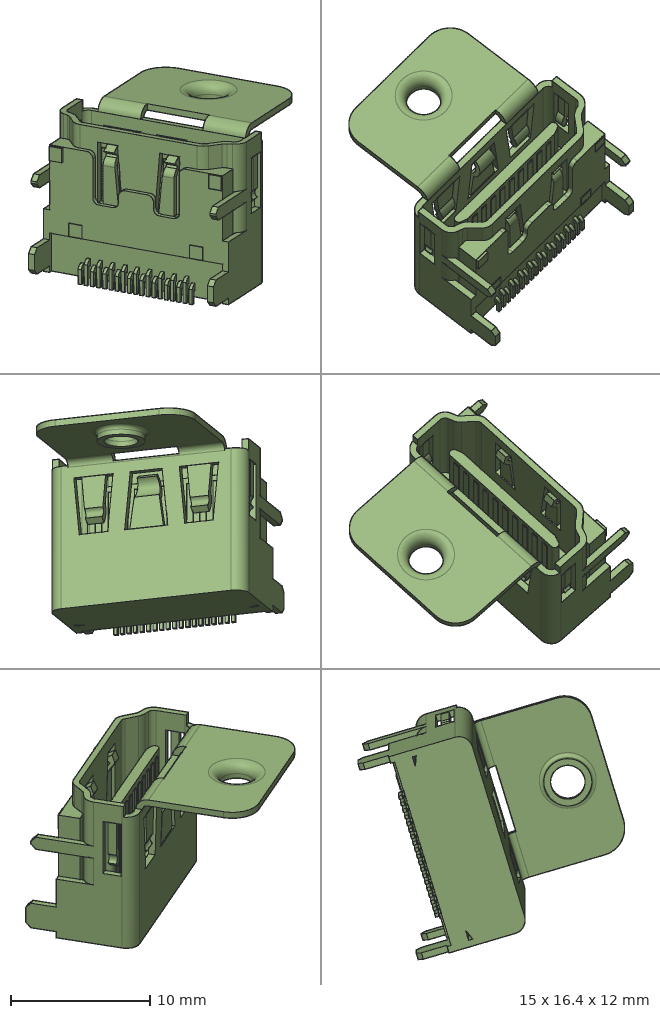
import cadquery as cq
import math


embed = 0.08

width = 15.0
overall_depth = 16.45
half_width = width / 2
wall = 0.5
shell_height = 11.55
shell_front = -5.58
flank_top = (half_width, -3.87)
flank_mid = (6.3, -4.31)
flank_low_x = 5.2
bend_radius = 1.0
flank_mid_radius = 0.72
rear_top = 10.7
back_corner_depth = 0.89

inner_half = half_width - wall
cavity_floor = 3.01
body_front = -5.97
body_back = -4.35
body_top = 9.75
recess_front = -5.66

notch_top_half = 3.5
notch_inner_half = 1.41
notch_bottom = 5.82
notch_bridge = 7.27
notch_radius = 0.5

flange_half = 5.99
flange_back = 8.18
flange_corner = 2.0
fold_inner = 0.5
fold_gap_half = 2.52
fold_gap_back = 0.55
screw_y = 5.2
screw_radius = 1.23
collar_bottom = 10.36
collar_inner_bend = 0.8

wing_root = -2.8
wing_top = 4.79
upper_leg = dict(bottom=6.96, top=7.95, tip=-7.91, chamfer=0.41)
lower_leg = dict(bottom=0.5, top=2.5, tip=flange_back - overall_depth, chamfer=0.4)

pin_count = 19
pin_row = 9.0
pitch = pin_row / (pin_count - 1)
pin_width = 0.26
pin_bottom = -0.45
pin_front = -6.1
pin_back = -5.84
pin_slope = 0.36
pin_bulge = 0.05
pin_tops = (1.05, 1.5)
blade_half = 5.45
blade_back = -2.37
blade_front = -3.17
blade_top = 9.55
contact_top = 9.13
contact_width = 0.5
contact_proud = 0.08
back_contacts = 10
front_contacts = 9


def box(x0, x1, y0, y1, z0, z1):
    return cq.Workplane("XY").box(x1 - x0, y1 - y0, z1 - z0, centered=False).translate((x0, y0, z0))


def both_sides(shape):
    return shape.union(shape.mirror("YZ"))


def outer_prism():
    """Solid filling the outer shell contour, corners rounded."""
    right = [(half_width, 0), flank_top, flank_mid, (flank_low_x, shell_front)]
    left = [(-x, y) for x, y in reversed(right)]
    prism = cq.Workplane("XY").polyline(right + left).close().extrude(shell_height)

    def edge_at(x, y):
        return cq.selectors.NearestToPointSelector((x, y, shell_height / 2))

    for x, y in right + left:
        radius = flank_mid_radius if abs(x) == flank_mid[0] else bend_radius
        prism = prism.edges("|Z").edges(edge_at(x, y)).fillet(radius)
    return prism


def make_shell(prism):
    cavity = (
        prism.faces("<Z").wires().toPending().workplane(origin=(0, 0, 0), invert=True)
        .offset2D(-wall).extrude(shell_height, combine=False)
        .translate((0, 0, cavity_floor))
    )
    rear_cut = box(-half_width, half_width, -back_corner_depth, 0, rear_top, shell_height)
    return prism.cut(cavity).cut(rear_cut)


def make_body(prism):
    cover = box(-inner_half, inner_half, body_front, body_back, 0, body_top)
    recess = box(-inner_half, inner_half, body_front, recess_front, 0, cavity_floor)
    opening = box(-notch_top_half, notch_top_half, body_front, shell_front, notch_bottom, body_top)
    bridge = box(-notch_inner_half, notch_inner_half, body_front, shell_front, notch_bottom, notch_bridge)
    body = cover.cut(opening.cut(bridge)).cut(recess).cut(prism)

    corners = (
        (notch_top_half, body_top), (notch_top_half, notch_bottom),
        (notch_inner_half, notch_bridge), (notch_inner_half, notch_bottom),
    )
    middle_y = (body_front + shell_front) / 2
    for x, z in corners:
        for side in (-x, x):
            corner = cq.selectors.NearestToPointSelector((side, middle_y, z))
            body = body.edges("|Y").edges(corner).fillet(notch_radius)
    return body


def make_pads():
    """Square pads on the front cover; the upper left one stands proud, the others are shallow."""
    shallow, proud = 0.07, 0.2
    upper_x, upper_z = (5.92, 6.95), (8.62, 9.7)
    lower_x, lower_z = (4.36, 5.43), (3.03, 4.05)

    def pad(x, z, height):
        return box(*x, body_front - height, body_front + embed, *z)

    pads = both_sides(pad(lower_x, lower_z, shallow))
    return pads.union(pad(upper_x, upper_z, shallow)).union(pad(upper_x, upper_z, proud).mirror("YZ"))


def leg(bottom, top, tip, chamfer):
    blank = box(inner_half, half_width, tip, wing_root, bottom, top)
    return blank.faces("<Y").edges("|X").chamfer(chamfer)


def make_wings():
    wing = box(inner_half, half_width, body_front, wing_root, 0, wing_top)
    return both_sides(wing.union(leg(**upper_leg)).union(leg(**lower_leg)))


def make_flange():
    under = shell_height - wall
    fold_outer = fold_inner + wall
    fold_z = under - fold_inner
    diagonal = math.sqrt(0.5)
    section = (
        cq.Workplane("YZ")
        .moveTo(-wall, fold_z)
        .threePointArc((fold_inner - fold_outer * diagonal, fold_z + fold_outer * diagonal),
                       (fold_inner, shell_height))
        .lineTo(flange_back, shell_height).lineTo(flange_back, under).lineTo(fold_inner, under)
        .threePointArc((fold_inner - fold_inner * diagonal, fold_z + fold_inner * diagonal), (0, fold_z))
        .close().extrude(flange_half, both=True)
    )
    plate = section.edges("|Z and >Y").fillet(flange_corner)
    gap = box(-fold_gap_half, fold_gap_half, -wall, fold_gap_back, rear_top, shell_height)

    bend_centre = screw_radius + collar_inner_bend
    bend_z = shell_height - collar_inner_bend
    outer_bend = collar_inner_bend - wall
    collar = (
        cq.Workplane("XZ")
        .moveTo(screw_radius, collar_bottom).lineTo(screw_radius, bend_z)
        .threePointArc((bend_centre - collar_inner_bend * diagonal, bend_z + collar_inner_bend * diagonal),
                       (bend_centre, shell_height))
        .lineTo(bend_centre, under)
        .threePointArc((bend_centre - outer_bend * diagonal, bend_z + outer_bend * diagonal),
                       (bend_centre - outer_bend, bend_z))
        .lineTo(bend_centre - outer_bend, collar_bottom).close()
        .revolve(360, (0, 0, 0), (0, 1, 0))
        .translate((0, screw_y, 0))
    )
    hole = cq.Workplane("XY").circle(bend_centre).extrude(shell_height).translate((0, screw_y, 0))
    return plate.cut(gap).cut(hole).union(collar)


def trapezoid(x_low, x_high, z_low, z_high, depth):
    """Slab of the given depth (+Y); x_low and x_high are its (min, max) X at z_low and z_high."""
    points = [(x_low[0], z_low), (x_low[1], z_low), (x_high[1], z_high), (x_high[0], z_high)]
    return cq.Workplane("XZ").polyline(points).close().extrude(-depth)


def spring(profile, x_low, x_high, z_low, z_high):
    """Leaf spring on a wall whose outer face is y = 0, inward = +Y.

    profile is its closed (depth, height) section; the leaf is trimmed to a trapezoid seen along Y.
    """
    reach = 1.65
    leaf = profile.extrude(half_width, both=True)
    return leaf.intersect(trapezoid(x_low, x_high, z_low, z_high, 2 * reach).translate((0, -reach, 0)))


def make_front_springs():
    low, bend, top, tip = notch_bottom, 8.75, 10.45, 10.18
    thickness = 0.4
    root = low - embed
    window = trapezoid((1.32, 3.32), (1.71, 3.32), low, top, wall)
    profile = (
        cq.Workplane("YZ").moveTo(0, root).lineTo(0, bend)
        .threePointArc((0.15, 9.1), (0.43, 9.33)).lineTo(0.53, 9.5).lineTo(0.1, 9.8)
        .lineTo(0.69, tip).lineTo(0.94, 9.54).lineTo(thickness, bend).lineTo(thickness, root).close()
    )
    leaf = spring(profile, (1.63, 2.88), (2.07, 2.88), root, tip)
    place = (0, shell_front, 0)
    return both_sides(window.translate(place)), both_sides(leaf.translate(place))


def hanging_profile(top, tip):
    """Leaf hanging from the top of a window, with an inward bump above its tip."""
    outer, inner = 0.05, 0.46
    crest = 0.75
    rise = 0.36
    bump_low, bump_middle, bump_top = tip + rise, tip + 2 * rise, tip + 3 * rise
    return (
        cq.Workplane("YZ").moveTo(outer, top).lineTo(outer, bump_top)
        .threePointArc((outer + 0.2, bump_middle), (outer, bump_low))
        .lineTo(inner, tip)
        .threePointArc((crest, bump_middle), (inner, bump_top + rise))
        .lineTo(inner, top).close()
    )


def make_back_springs():
    top, low = 9.72, 5.43
    root, mid_tip = low - embed, 9.45
    crest, outer, inner = 8.55, 0.1, 0.43
    window = trapezoid((-1.65, 1.65), (-1.22, 1.22), low, top, wall)
    profile = (
        cq.Workplane("YZ").moveTo(outer, root).lineTo(outer, 7.81)
        .threePointArc((0.53, crest), (0.16, 9.25)).lineTo(0.4, mid_tip)
        .threePointArc((0.92, crest), (inner, 7.65)).lineTo(inner, root).close()
    )
    leaf = spring(profile, (-1.3, 1.3), (-0.72, 0.72), root, mid_tip)

    offset = 4.03
    side_tip = 6.25
    side_window = trapezoid((-1.09, 1.09), (-1.5, 1.5), low, top, wall)
    side_root = top + embed
    side_leaf = spring(hanging_profile(side_root, side_tip), (-0.61, 0.61), (-0.92, 0.92), side_tip, side_root)
    for x in (-offset, offset):
        window = window.union(side_window.translate((x, 0, 0)))
        leaf = leaf.union(side_leaf.translate((x, 0, 0)))
    half_turn = ((0, 0, 0), (0, 0, 1), 180)
    return window.rotate(*half_turn), leaf.rotate(*half_turn)


def make_side_springs():
    top, low, tip = 10.07, 5.84, 6.38
    root = top + embed
    window_span = (-0.69, 0.69)
    leaf_span = (-0.31, 0.31)
    centre_y = -1.76
    window = trapezoid(window_span, window_span, low, top, wall)
    leaf = spring(hanging_profile(root, tip), leaf_span, leaf_span, tip, root)

    def place(shape):
        turned = shape.rotate((0, 0, 0), (0, 0, 1), 90)
        return both_sides(turned.translate((half_width, centre_y, 0)))

    return place(window), place(leaf)


def make_blade():
    """Contact tongue standing on the cavity floor, with rounded ends tapering to its front face."""
    back_x, end_x, taper_x, front_x = 5.18, blade_half, 5.31, 4.72
    end_y, taper_y = -2.65, -2.95
    outline = (
        cq.Workplane("XY").moveTo(-back_x, blade_back).lineTo(back_x, blade_back)
        .threePointArc((end_x, end_y), (taper_x, taper_y)).lineTo(front_x, blade_front)
        .lineTo(-front_x, blade_front).lineTo(-taper_x, taper_y)
        .threePointArc((-end_x, end_y), (-back_x, blade_back)).close()
    )
    root = cavity_floor - embed
    return outline.extrude(blade_top - root).translate((0, 0, root))


def contact_row(count, y0, y1):
    """Contact strips along one face of the blade, centred on x = 0, two pitches apart."""
    row = cq.Workplane("XY")
    for i in range(count):
        x = (2 * i - (count - 1)) * pitch
        row = row.union(box(x - contact_width / 2, x + contact_width / 2, y0, y1, cavity_floor, contact_top))
    return row


def make_pins():
    """Solder pins that leave the recessed face, bend down and end below the shell."""
    root = recess_front + embed
    pins = cq.Workplane("XY")
    for i in range(pin_count):
        top = pin_tops[i % 2]
        x = (i - (pin_count - 1) / 2) * pitch
        foot = top - pin_slope
        under = foot - pin_slope / 2
        pin = (
            cq.Workplane("YZ").moveTo(root, top).lineTo(recess_front, top)
            .threePointArc(((recess_front + pin_front) / 2 - pin_bulge, foot + pin_slope / 2 + pin_bulge),
                           (pin_front, foot))
            .lineTo(pin_front, pin_bottom).lineTo(pin_back, pin_bottom)
            .lineTo(pin_back, under).lineTo(root, under).close()
            .extrude(pin_width / 2, both=True)
        )
        pins = pins.union(pin.translate((x, 0, 0)))
    return pins


prism = outer_prism()
result = make_shell(prism)
for windows, leaves in (make_front_springs(), make_back_springs(), make_side_springs()):
    result = result.cut(windows).union(leaves)
result = result.union(make_body(prism)).union(make_wings()).union(make_pads())
result = result.union(make_flange())
result = result.union(make_blade())
result = result.union(contact_row(back_contacts, blade_back - embed, blade_back + contact_proud))
result = result.union(contact_row(front_contacts, blade_front - contact_proud, blade_front + embed))
result = result.union(make_pins())